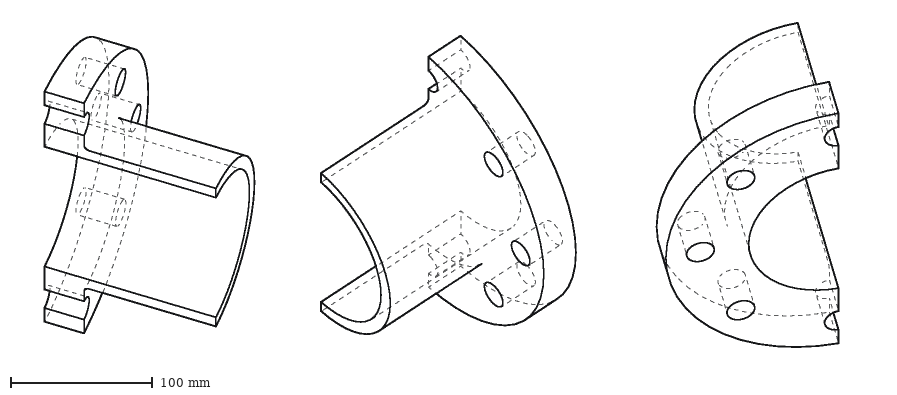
import cadquery as cq
import math

length = 130.0
flange_radius = 125.0
flange_thickness = 30.0
tube_radius = 75.0
bore_radius = 65.0
fillet_radius = 4.5
bolt_circle_radius = 100.0
bolt_hole_radius = 10.0
bolt_hole_count = 8


def half_sleeve():
    """Revolve the wall section half a turn about X, towards +Y."""
    section = (
        cq.Workplane("XZ")
        .moveTo(0, bore_radius)
        .lineTo(length, bore_radius)
        .lineTo(length, tube_radius)
        .lineTo(flange_thickness + fillet_radius, tube_radius)
        .radiusArc((flange_thickness, tube_radius + fillet_radius), fillet_radius)
        .lineTo(flange_thickness, flange_radius)
        .lineTo(0, flange_radius)
        .close()
    )
    return section.revolve(180, (0, 0, 0), (-1, 0, 0))


def bolt_holes():
    """Full ring of flange holes; two of them are halved by the split plane."""
    step = 2 * math.pi / bolt_hole_count
    centres = []
    for index in range(bolt_hole_count):
        angle = index * step
        centres.append((bolt_circle_radius * math.cos(angle), bolt_circle_radius * math.sin(angle)))
    return cq.Workplane("YZ").pushPoints(centres).circle(bolt_hole_radius).extrude(flange_thickness)


result = half_sleeve().cut(bolt_holes())